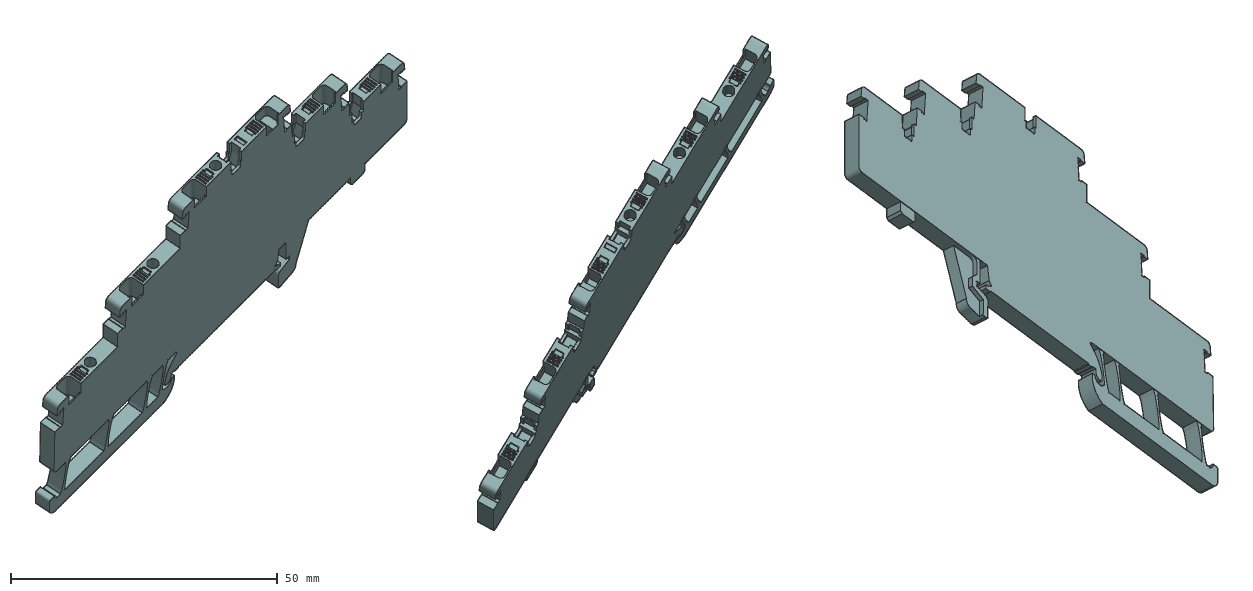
import cadquery as cq


width = 3.5
length = 105.69
height = 56.55
half_width = width / 2

body_bottom = 12.5
body_end = 104.35
body_corner = 1.0
plinth_bottom = 7.0
plinth_pad = 6.75

tier_tops = (33.2, 44.95, height)
tier_count = len(tier_tops)
rear_tip_first = 0.64
rear_tip_pitch = 16.9
front_tip_last = 103.5
front_tip_pitch = 18.53
rear_tips = [rear_tip_first + rear_tip_pitch * i for i in range(tier_count)]
front_tips = [front_tip_last - front_tip_pitch * i for i in range(tier_count)]
rear_shelves = (0.0, 17.15, 34.2)
rear_ledges = (16.9, 33.85)
front_shelf_overhang = 0.6

head_slant = 0.25
head_radius = 1.0
lip_drop = 2.8
lip_undercut = 0.25
lip_length = 1.1
neck_top_inset = 2.05
neck_base_inset = 1.7
shelf_drop = 7.4
shelf_groove_depth = 0.25
shelf_groove_length = 0.7

bridge_slots = ((12.8, 16.27, 0.6), (29.95, 33.2, 0.4), (48.9, 52.0, 0.3))
slot_step_drop = 2.95
slot_floor_drop = 4.6
slot_floor_radius = 0.3

pocket_width = 2.25
pocket_starts = (12.5, 29.35, 48.4)
pocket_length = 4.15
pocket_floor_drop = slot_floor_drop + 1.0

entry_offset = 3.25
entry_length = 3.85
entry_width = 2.9
entry_depth = 6.0
entry_radius = 0.9
entry_side_inset = 0.4
entry_side_depth = 3.0
entry_step_depth = 3.0
button_offset = 7.5
button_width = 2.4
button_groove = 0.32
button_groove_count = 4
button_groove_depth = 0.5
button_tail_end = 10.4
button_tail_width = 1.8
test_hole_offset = 12.0
test_hole_diameter = 2.25
test_hole_depth = 5.0
label_groove_start = 46.6
label_groove_length = 0.95
label_groove_depth = 0.5

foot_inset = 0.1
latch_recess = 0.9
rail_floor = 3.83
rail_end_height = 5.15
rail_end_radius = 1.9
rail_lip_radius = 0.5
rib_stations = (72.3, 76.9, 88.3, 101.05)
peg_start = 12.4
peg_end = 16.65
peg_bottom = 9.9
peg_chamfer = 0.5

rib_overlap = 0.5
root_overlap = 1.0


def side_plane(x):
    """Plane across X whose first axis is the station and whose second axis is Z; extrudes toward -X."""
    return cq.Workplane(cq.Plane(origin=(x, length / 2, 0), xDir=(0, -1, 0), normal=(-1, 0, 0)))


def box(station_a, station_b, z_low, z_high, x_low=-half_width, x_high=half_width):
    """Block between two stations, two heights and two X positions."""
    return (
        side_plane(x_high)
        .moveTo((station_a + station_b) / 2, (z_low + z_high) / 2)
        .rect(abs(station_b - station_a), z_high - z_low)
        .extrude(x_high - x_low)
    )


def head_points(tip, shelf, top, inward):
    """Outline of a marker head from its shelf up to the tier top; inward is +1 or -1 along the station."""
    neck_base = tip + inward * neck_base_inset
    groove_start = neck_base - inward * shelf_groove_length
    shelf_z = top - shelf_drop
    lip_z = top - lip_drop
    lip_end = tip + inward * lip_length
    return [
        (shelf, shelf_z),
        (groove_start, shelf_z),
        (groove_start, shelf_z - shelf_groove_depth),
        (neck_base, shelf_z - shelf_groove_depth),
        (tip + inward * neck_top_inset, lip_z + lip_undercut),
        (lip_end, lip_z + lip_undercut),
        (lip_end, lip_z),
        (tip, lip_z),
        (tip + inward * head_slant, top),
    ]


def make_body():
    """Stepped plate with its marker heads and rounded corners."""
    points = [(0.0, body_bottom)]
    for i in range(tier_count):
        points += head_points(rear_tips[i], rear_shelves[i], tier_tops[i], 1)
        if i < tier_count - 1:
            points.append((rear_ledges[i], tier_tops[i]))
    for i in reversed(range(tier_count)):
        shelf = front_tips[i] + front_shelf_overhang
        points += reversed(head_points(front_tips[i], shelf, tier_tops[i], -1))
        if i > 0:
            points.append((shelf, tier_tops[i - 1]))
    points.append((body_end, body_bottom))
    body = side_plane(half_width).polyline(points).close().extrude(width)
    body = body.edges("|X and <Z").fillet(body_corner)
    for i, top in enumerate(tier_tops):
        for corner in (rear_tips[i] + head_slant, front_tips[i] - head_slant):
            body = body.edges(cq.NearestToPointSelector((0, length / 2 - corner, top))).fillet(head_radius)
    return body


def make_plinth():
    """Raised seat under the body, with a nose at its rear and a hook at its front."""
    return (
        side_plane(half_width)
        .moveTo(37.8, body_bottom + root_overlap)
        .lineTo(37.8, body_bottom)
        .lineTo(38.3, 9.2)
        .lineTo(39.0, 8.3)
        .lineTo(38.2, 7.8)
        .lineTo(37.35, 7.6)
        .lineTo(37.35, plinth_pad)
        .lineTo(38.7, plinth_pad)
        .lineTo(38.8, plinth_bottom)
        .lineTo(67.5, plinth_bottom)
        .lineTo(67.6, plinth_pad)
        .lineTo(68.6, plinth_pad)
        .lineTo(68.7, plinth_bottom)
        .lineTo(69.65, plinth_bottom)
        .lineTo(69.8, 5.8)
        .threePointArc((70.6, 5.05), (71.5, 5.2))
        .lineTo(71.5, 6.3)
        .threePointArc((70.7, 8.8), (69.2, 10.9))
        .lineTo(68.2, 11.8)
        .threePointArc((68.1, 12.25), (68.5, body_bottom))
        .lineTo(68.5, body_bottom + root_overlap)
        .close()
        .extrude(width)
    )


def make_rail():
    """Long lower rail with the cup that surrounds the hook."""
    return (
        side_plane(half_width)
        .moveTo(68.8, 5.5)
        .threePointArc((69.6, 1.9), (71.8, 0))
        .lineTo(length - rail_end_radius, 0)
        .radiusArc((length, rail_end_radius), -rail_end_radius)
        .lineTo(length, rail_end_height - rail_lip_radius)
        .radiusArc((length - rail_lip_radius, rail_end_height), -rail_lip_radius)
        .lineTo(104.25, rail_end_height)
        .threePointArc((104.1, 4.4), (103.4, rail_floor))
        .lineTo(72.6, rail_floor)
        .lineTo(72.3, 4.9)
        .threePointArc((71.0, 4.05), (69.7, 4.8))
        .lineTo(69.55, 5.5)
        .close()
        .extrude(width - foot_inset)
    )


def make_rib(station):
    """Slender leaning rib between the rail and the body."""
    top = body_bottom + rib_overlap
    base = rail_floor - rib_overlap
    return (
        side_plane(half_width)
        .moveTo(station, base)
        .lineTo(station, 5.5)
        .threePointArc((station - 0.45, 8.5), (station - 1.2, 11.6))
        .lineTo(station - 1.7, body_bottom)
        .lineTo(station - 1.7, top)
        .lineTo(station, top)
        .lineTo(station, body_bottom)
        .lineTo(station - 0.3, 11.8)
        .threePointArc((station + 0.2, 8.2), (station + 1.05, 4.5))
        .lineTo(station + 1.4, rail_floor)
        .lineTo(station + 1.4, base)
        .close()
        .extrude(width - foot_inset)
    )


def make_latch():
    """Sloping snap latch with a hooked toe; its side face is recessed behind the edge strip."""
    latch = (
        side_plane(half_width)
        .moveTo(29.05, body_bottom + root_overlap)
        .lineTo(29.05, body_bottom)
        .lineTo(32.85, 2.2)
        .threePointArc((33.2, 1.1), (33.9, 0.65))
        .lineTo(35.2, 0.45)
        .lineTo(37.3, 0.0)
        .lineTo(38.05, 0.15)
        .lineTo(38.05, 4.0)
        .threePointArc((37.8, 4.8), (37.2, 5.2))
        .lineTo(34.8, 5.9)
        .lineTo(34.8, 7.0)
        .lineTo(35.75, 7.0)
        .lineTo(35.75, 12.2)
        .lineTo(36.05, body_bottom)
        .lineTo(36.05, body_bottom + root_overlap)
        .close()
        .extrude(width - foot_inset)
    )
    recess = (
        side_plane(-half_width + foot_inset + latch_recess)
        .moveTo(28.0, body_bottom)
        .lineTo(33.8, body_bottom)
        .threePointArc((34.55, 12.1), (34.8, 11.4))
        .lineTo(34.8, 8.6)
        .lineTo(33.5, 7.3)
        .lineTo(33.5, 5.1)
        .lineTo(36.7, 3.8)
        .lineTo(36.7, 0.7)
        .lineTo(36.4, -1.0)
        .lineTo(28.0, -1.0)
        .close()
        .extrude(latch_recess + foot_inset)
    )
    return latch.cut(recess)


def make_peg():
    """Small chamfered peg under the rear of the body."""
    peg = box(peg_start, peg_end, peg_bottom, body_bottom + root_overlap, x_low=-half_width + foot_inset)
    return peg.edges("|X and <Z").chamfer(peg_chamfer)


def bridge_slot(start, end, inset, top):
    """Stepped slot across the full width of a tier."""
    upper = box(start, end, top - slot_step_drop, top)
    lower = box(start + inset, end - inset, top - slot_floor_drop, top)
    return upper.union(lower.edges("|X and <Z").fillet(slot_floor_radius))


def bridge_pocket(start, slot, top):
    """Narrow pocket inside a bridge slot, with a slope at the foot of its rear wall."""
    slot_start, slot_end, inset = slot
    floor = top - pocket_floor_drop
    end = start + pocket_length
    return (
        side_plane(pocket_width / 2)
        .polyline(
            [
                (start, top),
                (start, top - slot_step_drop),
                (slot_start + inset, floor),
                (slot_end - inset, floor),
                (slot_end - inset, top - slot_step_drop),
                (end, top - slot_step_drop),
                (end, top),
            ]
        )
        .close()
        .extrude(pocket_width)
    )


def wire_entry(tip, top, inward, stepped):
    """Wire funnel with its upper part open toward +X; stepped gives a shallow floor in the outer half."""
    outer = tip + inward * entry_offset
    inner = outer + inward * entry_length
    side = entry_width / 2
    entry = box(outer, inner, top - entry_depth, top, x_low=-side, x_high=side)
    entry = entry.edges("|Z and <X").fillet(entry_radius)
    if stepped:
        middle = (outer + inner) / 2
        entry = entry.cut(box(outer, middle, top - entry_depth, top - entry_step_depth))
    side_start = outer + inward * entry_side_inset
    return entry.union(box(side_start, inner, top - entry_side_depth, top, x_low=0))


def release_button(tip, top, inward):
    """Grooved button face with a narrow tail recess."""
    side = button_width / 2
    floor = top - button_groove_depth
    tail = tip + inward * (button_offset + (2 * button_groove_count - 1) * button_groove)
    tail_end = tip + inward * button_tail_end
    tail_side = button_tail_width / 2
    cutter = box(tail, tail_end, floor, top, x_low=-tail_side, x_high=tail_side)
    for i in range(button_groove_count):
        start = tip + inward * (button_offset + 2 * i * button_groove)
        end = start + inward * button_groove
        cutter = cutter.union(box(start, end, floor, top, x_low=-side, x_high=side))
    return cutter


def test_hole(tip, top):
    """Round blind hole in a front tier."""
    station = tip - test_hole_offset
    return (
        cq.Workplane("XY", origin=(0, length / 2 - station, top - test_hole_depth))
        .circle(test_hole_diameter / 2)
        .extrude(test_hole_depth)
    )


def label_groove():
    """Shallow cross groove in the highest tier."""
    return box(
        label_groove_start,
        label_groove_start + label_groove_length,
        height - label_groove_depth,
        height,
        x_low=-pocket_width / 2,
        x_high=pocket_width / 2,
    )


part = make_body().union(make_plinth()).union(make_rail()).union(make_latch()).union(make_peg())
for rib_station in rib_stations:
    part = part.union(make_rib(rib_station))

for i, tier_top in enumerate(tier_tops):
    is_highest = i == tier_count - 1
    part = part.cut(bridge_slot(*bridge_slots[i], tier_top))
    part = part.cut(bridge_pocket(pocket_starts[i], bridge_slots[i], tier_top))
    part = part.cut(wire_entry(rear_tips[i], tier_top, 1, is_highest))
    part = part.cut(wire_entry(front_tips[i], tier_top, -1, False))
    part = part.cut(release_button(rear_tips[i], tier_top, 1))
    part = part.cut(release_button(front_tips[i], tier_top, -1))
    part = part.cut(test_hole(front_tips[i], tier_top))

result = part.cut(label_groove())